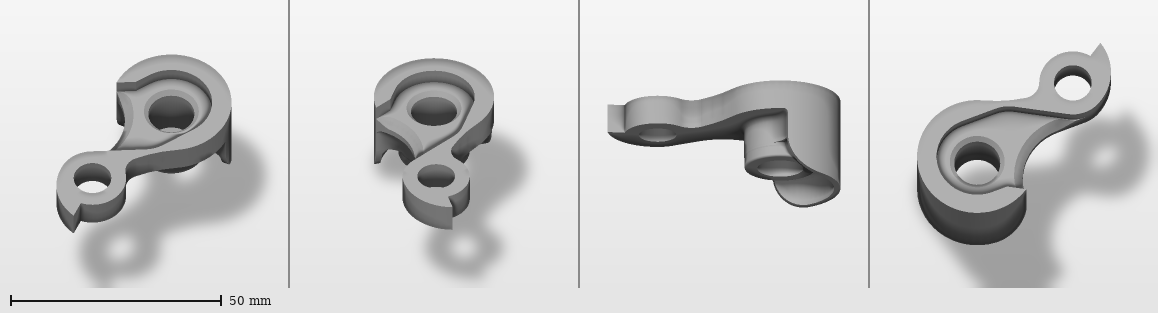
import cadquery as cq
import math


head_radius = 14.3
hole_radius = 5.45
hole_chamfer = 1.05
seat_angle = 33.0
plate_depth = 7.0

eye_x, eye_y = 9.0, -27.95
eye_radius = 8.0
eye_hole_radius = 4.45
tail_radius = 12.15
tail_start_angle = 206.5
tail_tip_x = 16.0
tail_root_angle = -52.8

notch_radius = 13.15
arm_radius = 31.5
neck_radius = 4.0
neck_x = 13.5

pocket_depth = 3.5
pocket_radius = 9.65
pocket_bend_radius = 8.55
slant_angle = 60.0
edge_chamfer = 2.05
chamfer_end_radius = 3.7

web_depth = 13.5
web_blend_radius = 5.1
web_root_fillet = 1.1
web_boss_radius = 8.55
pedestal_radius = 8.5
pedestal_depth = 16.95
pedestal_edge_fillet = 0.45
skirt_depth = 22.0
skirt_inner_radius = 12.8
skirt_end_radius = skirt_depth - web_depth
groove_fillet = 2.05
pedestal_fillet = 0.95
outside = 31.5


def polar(center, radius, degrees):
    angle = math.radians(degrees)
    return (center[0] + radius * math.cos(angle), center[1] + radius * math.sin(angle))


def toward(start, end, distance):
    """Point at the given distance from start along the line to end."""
    ratio = distance / math.dist(start, end)
    return (start[0] + ratio * (end[0] - start[0]), start[1] + ratio * (end[1] - start[1]))


def arc_middle(center, start, end):
    """Middle of the shorter arc from start to end."""
    chord_middle = ((start[0] + end[0]) / 2, (start[1] + end[1]) / 2)
    return toward(center, chord_middle, math.dist(center, start))


def circle_crossing(center_a, radius_a, center_b, radius_b):
    """Crossing of two circles on the left of the line from a to b."""
    gap = math.dist(center_a, center_b)
    along = (gap**2 + radius_a**2 - radius_b**2) / (2 * gap)
    across = math.sqrt(radius_a**2 - along**2)
    ux, uy = (center_b[0] - center_a[0]) / gap, (center_b[1] - center_a[1]) / gap
    return (center_a[0] + along * ux - across * uy, center_a[1] + along * uy + across * ux)


head = (0.0, 0.0)
eye = (eye_x, eye_y)
arm_left = eye_x - eye_radius
corner = polar(head, head_radius, 180 + seat_angle)
notch_x = arm_left - notch_radius
notch_center = (notch_x, corner[1] - math.sqrt(notch_radius**2 - (corner[0] - notch_x) ** 2))
notch_end = (arm_left, notch_center[1])


def make_outline():
    """Plan outline of the whole part, extruded over its full height."""
    neck_reach = eye_radius + neck_radius
    neck = (neck_x, eye_y + math.sqrt(neck_reach**2 - (neck_x - eye_x) ** 2))
    arm = circle_crossing(head, head_radius + arm_radius, neck, arm_radius - neck_radius)
    head_end = toward(head, arm, head_radius)
    arm_end = toward(arm, neck, arm_radius)
    neck_end = toward(eye, neck, eye_radius)
    tail_root = polar(eye, eye_radius, tail_root_angle)
    tail_start = polar(eye, eye_radius, tail_start_angle)
    tail = toward(tail_start, eye, tail_radius)
    tail_tip = (tail_tip_x, tail[1] - math.sqrt(tail_radius**2 - (tail_tip_x - tail[0]) ** 2))
    eye_left = (arm_left, eye_y)
    return (
        cq.Workplane("XY").moveTo(*corner)
        .threePointArc((0, head_radius), head_end)
        .threePointArc(arc_middle(arm, head_end, arm_end), arm_end)
        .threePointArc(arc_middle(neck, arm_end, neck_end), neck_end)
        .threePointArc((eye_x + eye_radius, eye_y), tail_root)
        .lineTo(*tail_tip)
        .threePointArc(arc_middle(tail, tail_tip, tail_start), tail_start)
        .threePointArc(arc_middle(eye, tail_start, eye_left), eye_left)
        .lineTo(*notch_end)
        .threePointArc(arc_middle(notch_center, notch_end, corner), corner)
        .close().extrude(-skirt_depth)
    )


def make_web():
    """Slab with the web and pedestal hanging below; the seat face is y = 0 before turning."""
    slab = cq.Workplane("XY").box(4 * outside, 4 * outside, plate_depth).translate((0, 0, -plate_depth / 2))
    blend_x = math.sqrt((web_boss_radius + web_blend_radius) ** 2 - web_blend_radius**2)
    right_center = (blend_x, -web_blend_radius)
    left_center = (-blend_x, -web_blend_radius)
    right_touch = toward(head, right_center, web_boss_radius)
    left_touch = toward(head, left_center, web_boss_radius)
    web = (
        cq.Workplane("XY").moveTo(-outside, outside)
        .lineTo(-outside, 0)
        .lineTo(-blend_x, 0)
        .threePointArc(arc_middle(left_center, (-blend_x, 0), left_touch), left_touch)
        .threePointArc((0, -web_boss_radius), right_touch)
        .threePointArc(arc_middle(right_center, right_touch, (blend_x, 0)), (blend_x, 0))
        .lineTo(outside, 0)
        .lineTo(outside, outside)
        .close().extrude(-web_depth)
    )
    root = cq.selectors.BoxSelector(
        (-outside, -web_boss_radius - 0.5, -plate_depth - 0.05),
        (outside, 0.5, -plate_depth + 0.05),
    )
    pedestal = (
        cq.Workplane("XY").workplane(offset=-web_depth).circle(web_boss_radius)
        .extrude(web_depth - pedestal_depth)
    )
    return slab.union(web).edges(root).fillet(web_root_fillet).union(pedestal)


def make_skirt():
    """Block behind the seat face with its lower front edge rounded."""
    return (
        cq.Workplane("XY").box(2 * outside, outside, skirt_depth, centered=(True, False, False))
        .translate((0, 0, -skirt_depth))
        .edges("|X and <Y and <Z").fillet(skirt_end_radius)
    )


def make_groove():
    """Round-topped ring between pedestal and skirt, plus the space below the pedestal."""
    arc_ratio = 1 - math.sqrt(0.5)
    edge_arc = pedestal_edge_fillet * arc_ratio
    pedestal_arc = pedestal_fillet * arc_ratio
    skirt_arc = groove_fillet * arc_ratio
    return (
        cq.Workplane("XZ").moveTo(0, -outside)
        .lineTo(0, -pedestal_depth)
        .lineTo(pedestal_radius - pedestal_edge_fillet, -pedestal_depth)
        .threePointArc(
            (pedestal_radius - edge_arc, edge_arc - pedestal_depth),
            (pedestal_radius, -pedestal_depth + pedestal_edge_fillet),
        )
        .lineTo(pedestal_radius, -web_depth - pedestal_fillet)
        .threePointArc(
            (pedestal_radius + pedestal_arc, -web_depth - pedestal_arc),
            (pedestal_radius + pedestal_fillet, -web_depth),
        )
        .lineTo(skirt_inner_radius - groove_fillet, -web_depth)
        .threePointArc(
            (skirt_inner_radius - skirt_arc, -web_depth - skirt_arc),
            (skirt_inner_radius, -web_depth - groove_fillet),
        )
        .lineTo(skirt_inner_radius, -outside)
        .close().revolve(360, (0, 0, 0), (0, 1, 0))
    )


def make_pocket():
    """Recess around the main hole, open toward the concave arm edge."""
    slope = math.tan(math.radians(slant_angle))
    bend_turn = 90 - slant_angle
    left_turn_y = corner[1] + (-pocket_radius - corner[0]) * slope
    slant_end = polar(eye, eye_radius, 180 - bend_turn)
    bend_x = pocket_radius - pocket_bend_radius
    bend_end_x = polar((bend_x, 0), pocket_bend_radius, -bend_turn)[0]
    bend_end_y = slant_end[1] + (bend_end_x - slant_end[0]) * slope
    bend = (bend_x, bend_end_y + pocket_bend_radius * math.sin(math.radians(bend_turn)))
    eye_left = (arm_left, eye_y)
    return (
        cq.Workplane("XY").moveTo(-pocket_radius, left_turn_y)
        .lineTo(-pocket_radius, 0)
        .threePointArc((0, pocket_radius), (pocket_radius, 0))
        .lineTo(pocket_radius, bend[1])
        .threePointArc(polar(bend, pocket_bend_radius, -bend_turn / 2), (bend_end_x, bend_end_y))
        .lineTo(*slant_end)
        .threePointArc(arc_middle(eye, slant_end, eye_left), eye_left)
        .lineTo(-outside, eye_y)
        .lineTo(-outside, left_turn_y - (outside - pocket_radius) * slope)
        .close().extrude(-pocket_depth)
    )


def make_edge_chamfer():
    """Tapered cutter that bevels the concave arm edge and runs out round at both ends."""
    path_radius = notch_radius + edge_chamfer - chamfer_end_radius
    start_center = circle_crossing(corner, chamfer_end_radius, notch_center, path_radius)
    start = toward(notch_center, start_center, notch_radius + edge_chamfer)
    end_center = (notch_center[0] + path_radius, notch_center[1])
    end = (end_center[0] + chamfer_end_radius, end_center[1])
    runout_turn = 90 - slant_angle
    runout = polar(end_center, chamfer_end_radius, -runout_turn)
    runout_end_x = runout[0] - (runout[1] + outside) / math.tan(math.radians(slant_angle))
    left = (start_center[0] - chamfer_end_radius, start_center[1])
    return (
        cq.Workplane("XY").workplane(offset=-pocket_depth).moveTo(*left)
        .threePointArc(arc_middle(start_center, left, start), start)
        .threePointArc(arc_middle(notch_center, start, end), end)
        .threePointArc(polar(end_center, chamfer_end_radius, -runout_turn / 2), runout)
        .lineTo(runout_end_x, -outside)
        .lineTo(left[0], -outside)
        .close().extrude(-edge_chamfer, taper=45)
    )


def make_holes():
    """Main hole with its countersink, and the eye hole."""
    main = cq.Workplane("XY").circle(hole_radius).extrude(-skirt_depth)
    countersink = (
        cq.Workplane("XY").workplane(offset=-pocket_depth)
        .circle(hole_radius + hole_chamfer).extrude(-hole_chamfer, taper=45)
    )
    eye_hole = cq.Workplane("XY").center(*eye).circle(eye_hole_radius).extrude(-skirt_depth)
    return main.union(countersink).union(eye_hole)


body = make_web().union(make_skirt()).cut(make_groove())
body = body.rotate((0, 0, 0), (0, 0, 1), seat_angle)
body = body.intersect(make_outline())
result = body.cut(make_pocket()).cut(make_edge_chamfer()).cut(make_holes())